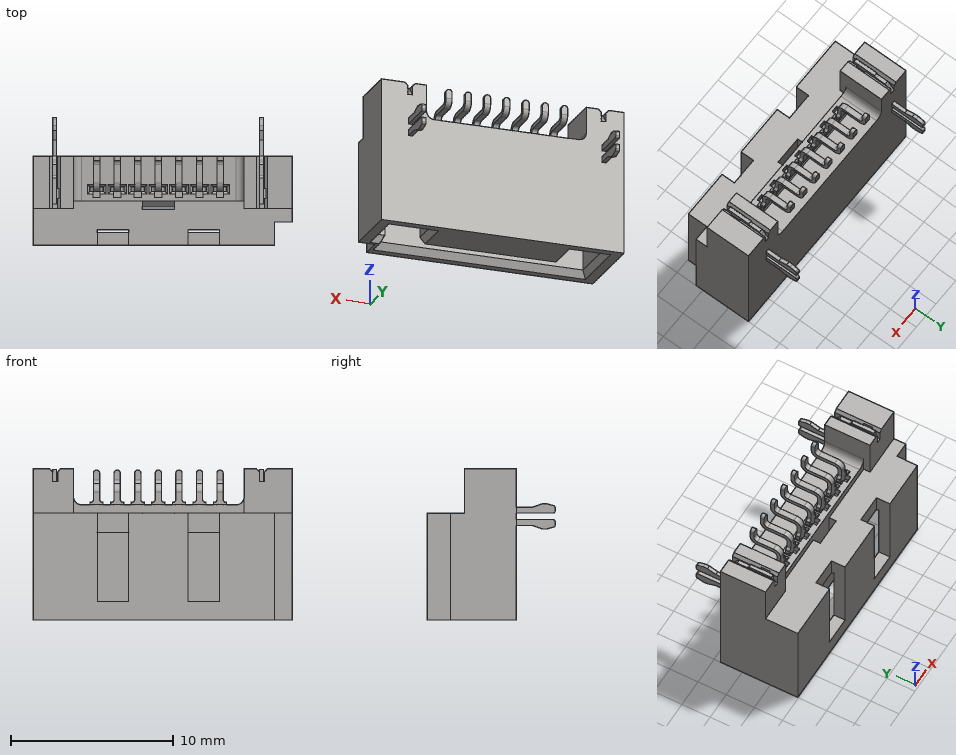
import cadquery as cq

length = 16.0
depth = 5.5
base_height = 6.6
height = 9.35
tower_front = 2.29
left_tower_width = 2.5
right_tower_width = 2.98
deck_front = 2.74
deck_height = 7.12
deck_fillet = 0.5
notch_width = 1.09
notch_depth = 1.44

pin_count = 7
pin_pitch = 1.27
row_center = 7.73
row_y = 3.47

cavity_roof = 5.4
end_wall = 0.8
side_wall = 0.95
notch_wall = 0.48
tongue_front = 2.37
tongue_width = 9.14
lead_in_height = 0.5
lead_in = 0.25

latch_spacing = 5.6
latch_width = 1.94
latch_bottom = 1.14
latch_depth = 0.96

key_width = 1.98
key_front = 2.24
key_bottom = 3.1

pin_width = 0.4
pin_thickness = 0.27
pin_top = 9.26
pin_root = 6.4
pin_arm_top = 8.42
bend_radius = 0.24
shoulder_width = 0.82
shoulder_top = 7.28
shoulder_fillet = 0.15

funnel_width = 1.15
funnel_depth = 0.6
funnel_drop = 0.15
relief_width = 0.45
relief_length = 0.53
relief_drop = 0.48

lock_xs = (1.2, 13.97)
lock_thickness = 0.25
lock_slot_width = 0.3
lock_slot_floor = 8.56
lock_chamfer = 0.2
lock_front = 2.56
lock_top = 9.3
lock_step_y = 4.3
lock_step_drop = 0.15
lock_slope = ((5.0, 0), (5.14, 0.15), (5.28, 0.32), (depth, 0.6))
dimple_front = 2.88
dimple_length = 0.62
dimple_width = 0.1
tail_end = 7.9
tail_root = depth - 0.32
tail_z = 6.4
tail_gap = 0.38
tail_shank = 0.58
tail_bulge = 0.78
tail_tip = 0.64
bulge_start = 6.51
bulge_front = 7.1
bulge_back = 7.4
tail_tip_radius = 0.15


def box(x0, x1, y0, y1, z0, z1):
    """Axis-aligned box between the given limits."""
    return cq.Workplane("XY").box(x1 - x0, y1 - y0, z1 - z0, centered=False).translate((x0, y0, z0))


def plate(profile, x0, thickness):
    """Extrude a closed YZ profile along +X from x0."""
    return profile.extrude(thickness).translate((x0, 0, 0))


def make_housing():
    right_tower = length - right_tower_width
    base = box(0, length, 0, depth, 0, base_height)
    towers = box(0, left_tower_width, tower_front, depth, 0, height)
    towers = towers.union(box(right_tower, length, tower_front, depth, 0, height))
    bend = deck_height + deck_fillet
    deck = (
        cq.Workplane("XZ")
        .moveTo(left_tower_width, 0)
        .lineTo(right_tower, 0)
        .lineTo(right_tower, bend)
        .radiusArc((right_tower - deck_fillet, deck_height), deck_fillet)
        .lineTo(left_tower_width + deck_fillet, deck_height)
        .radiusArc((left_tower_width, bend), deck_fillet)
        .close()
        .extrude(deck_front - depth)
        .translate((0, deck_front, 0))
    )
    notch = box(length - notch_width, length, 0, notch_depth, 0, base_height)
    return base.union(towers).union(deck).cut(notch)


def cavity_outline(z, grow):
    """U-shaped cavity outline at height z, with every wall moved outward by grow."""
    left = side_wall - grow
    right = length - side_wall + grow
    front = end_wall - grow
    rear = depth - end_wall + grow
    corner_x = length - notch_width - notch_wall + grow
    corner_y = notch_depth + notch_wall - grow
    tongue_left = row_center - tongue_width / 2 + grow
    tongue_right = row_center + tongue_width / 2 - grow
    tongue_face = tongue_front + grow
    return cq.Workplane("XY", origin=(0, 0, z)).polyline([
        (left, front),
        (corner_x, front),
        (corner_x, corner_y),
        (right, corner_y),
        (right, rear),
        (tongue_right, rear),
        (tongue_right, tongue_face),
        (tongue_left, tongue_face),
        (tongue_left, rear),
        (left, rear),
    ]).close()


def make_cavity():
    straight = cavity_outline(0, 0).extrude(cavity_roof)
    wide = cavity_outline(0, lead_in).wires().val()
    narrow = cavity_outline(lead_in_height, 0).wires().val()
    mouth = cq.Solid.makeLoft([wide, narrow], True)
    return straight.union(cq.Workplane(mouth))


def make_latch_slots():
    centers = [(row_center + side * latch_spacing / 2, latch_depth / 2) for side in (-1, 1)]
    return (
        cq.Workplane("XY", origin=(0, 0, latch_bottom))
        .pushPoints(centers)
        .rect(latch_width, latch_depth)
        .extrude(base_height - latch_bottom)
    )


def make_key():
    ramp = deck_front - tongue_front
    profile = cq.Workplane("YZ").polyline([
        (key_front, key_bottom),
        (tongue_front, key_bottom),
        (deck_front, key_bottom + ramp),
        (deck_front, base_height),
        (key_front, base_height),
    ]).close()
    return plate(profile, row_center - key_width / 2, key_width)


def make_pin_opening():
    """Funnel and front relief of one pin, at X = 0."""
    funnel = (
        cq.Workplane("XY", origin=(0, row_y, deck_height))
        .rect(funnel_width, funnel_depth)
        .workplane(offset=-funnel_drop)
        .rect(funnel_width - 2 * funnel_drop, funnel_depth - 2 * funnel_drop)
        .loft(ruled=True)
    )
    relief = box(
        -relief_width / 2, relief_width / 2, row_y - relief_length, row_y,
        deck_height - relief_drop, deck_height,
    )
    return funnel.union(relief)


def make_pin():
    """One double-bent pin with its shoulders, at X = 0."""
    front = row_y - pin_thickness / 2
    back = front + pin_thickness
    outer = bend_radius + pin_thickness
    arm_bottom = pin_arm_top - pin_thickness
    tip_front = depth - pin_thickness
    profile = (
        cq.Workplane("YZ")
        .moveTo(front, pin_root)
        .lineTo(front, pin_arm_top - outer)
        .radiusArc((front + outer, pin_arm_top), outer)
        .lineTo(tip_front - bend_radius, pin_arm_top)
        .radiusArc((tip_front, pin_arm_top + bend_radius), -bend_radius)
        .lineTo(tip_front, pin_top)
        .lineTo(depth, pin_top)
        .lineTo(depth, arm_bottom + outer)
        .radiusArc((depth - outer, arm_bottom), outer)
        .lineTo(back + bend_radius, arm_bottom)
        .radiusArc((back, arm_bottom - bend_radius), -bend_radius)
        .lineTo(back, pin_root)
        .close()
    )
    pin = plate(profile, -pin_width / 2, pin_width)
    shoulder = box(-shoulder_width / 2, shoulder_width / 2, front, back, pin_root, shoulder_top)
    pin = pin.union(shoulder)
    for side in (-1, 1):
        corner = (side * pin_width / 2, row_y, shoulder_top)
        pin = pin.edges(cq.selectors.NearestToPointSelector(corner)).fillet(shoulder_fillet)
    radius = pin_width / 2
    end_zone = box(-radius, radius, tip_front, depth, pin_top - radius, pin_top)
    end_round = (
        cq.Workplane("XZ", origin=(0, tip_front, pin_top - radius)).circle(radius).extrude(-pin_thickness)
    )
    return pin.cut(end_zone).union(end_round)


def make_lock_slot():
    """Chamfered slot across a tower and its dimple, with the left wall at X = 0."""
    slot = (
        cq.Workplane("XZ")
        .polyline([
            (0, lock_slot_floor),
            (lock_slot_width, lock_slot_floor),
            (lock_slot_width, height - lock_chamfer),
            (lock_slot_width + lock_chamfer, height),
            (-lock_chamfer, height),
            (0, height - lock_chamfer),
        ])
        .close()
        .extrude(-depth)
    )
    dimple_side = lock_slot_width + dimple_width
    dimple_back = dimple_front + dimple_length
    dimple = box(0, dimple_side, dimple_front, dimple_back, lock_slot_floor, height)
    return slot.union(dimple)


def make_lock():
    """Board lock plate with its two tails, from X = 0."""
    low = lock_top - lock_step_drop
    profile = (
        cq.Workplane("YZ")
        .moveTo(lock_front, tail_z)
        .lineTo(lock_front, lock_top)
        .lineTo(lock_step_y - lock_step_drop, lock_top)
        .radiusArc((lock_step_y, low), -lock_step_drop)
        .polyline([(y, low - drop) for y, drop in lock_slope], includeCurrent=True)
        .lineTo(depth, tail_z)
        .close()
    )
    lock = plate(profile, 0, lock_thickness)
    for side in (-1, 1):
        tail = cq.Workplane("YZ").polyline([
            (tail_root, tail_z + side * tail_gap / 2),
            (tail_root, tail_z + side * tail_shank),
            (bulge_start, tail_z + side * tail_shank),
            (bulge_front, tail_z + side * tail_bulge),
            (bulge_back, tail_z + side * tail_bulge),
            (tail_end, tail_z + side * tail_tip),
            (tail_end, tail_z + side * tail_gap / 2),
        ]).close()
        lock = lock.union(plate(tail, 0, lock_thickness).edges("|X and >Y").fillet(tail_tip_radius))
    return lock


result = make_housing().cut(make_cavity()).cut(make_latch_slots()).cut(make_key())

for index in range(pin_count):
    pin_x = row_center + (index - (pin_count - 1) / 2) * pin_pitch
    result = result.cut(make_pin_opening().translate((pin_x, 0, 0)))
    result = result.union(make_pin().translate((pin_x, 0, 0)))

for lock_x in lock_xs:
    result = result.cut(make_lock_slot().translate((lock_x, 0, 0)))
    result = result.union(make_lock().translate((lock_x, 0, 0)))